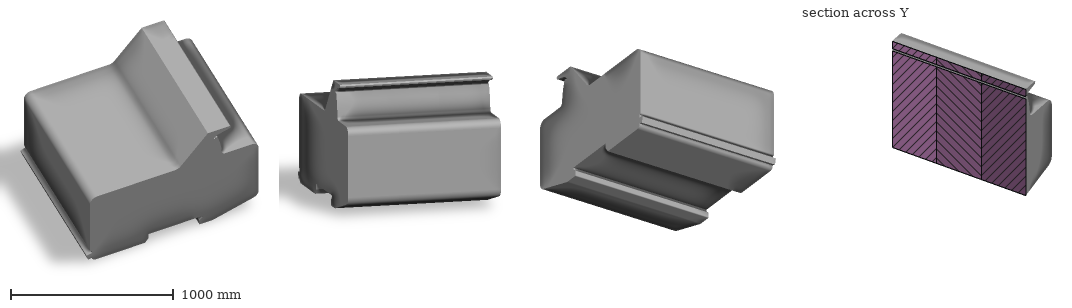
import cadquery as cq
import math

module_count = 3
module_width = 325.0

depth = 1142.0
deck_height = 565.0
corner_radius = 50.0
belly_angle = 16.0
belly_start = 833.0

slot_height = 68.0
slot_front = 397.0
slot_rear = 763.0
hook_reach = 23.0
hook_low = 36.0
hook_high = 55.0
foot_chamfer_run = 25.0
foot_chamfer_rise = 33.0
hook_toe_radius = 6.0

front_recess = 13.0
recess_top = 90.0
toe_radius = 27.0
face_edge_radius = 9.0
clip_angle = 15.0
clip_reach = 23.0
clip_root_top = 70.0
clip_thickness = 41.0

head_top = 798.0
head_front_top = 798.0
head_front_foot = 599.0
head_front_foot_radius = 45.0
head_rear_foot = 894.0
head_rear_foot_radius = 23.0
head_rear_middle = (884.0, 657.0)
head_rear_top = (863.0, 735.0)

lip_rear = 947.0
nose_rear = 954.0
nose_height = 789.0
lip_under_rear = (948.0, 778.0)
lip_under_front = (866.0, 756.0)
groove_front = 840.0
groove_rear = 849.0
groove_top = 736.0
groove_bottom = 727.0


def clip_points():
    """Corners of the tilted clip, from its lower root to its upper root."""
    tilt = math.radians(clip_angle)
    reach = front_recess + clip_reach
    tip_top = clip_root_top - reach * math.tan(tilt)
    tip_low_y = clip_thickness * math.sin(tilt) - clip_reach
    tip_low_z = tip_top - clip_thickness * math.cos(tilt)
    root_low_z = tip_low_z + (front_recess - tip_low_y) * math.tan(tilt)
    return [
        (front_recess, root_low_z),
        (tip_low_y, tip_low_z),
        (-clip_reach, tip_top),
        (front_recess, clip_root_top),
    ]


belly_rear_height = (depth - belly_start) * math.tan(math.radians(belly_angle))

front_points = [
    *clip_points(),
    (front_recess, recess_top),
    (0, recess_top),
    (0, deck_height),
]
head_points = [
    (head_front_foot, deck_height),
    (head_front_top, head_top),
    (lip_rear, head_top),
    (nose_rear, nose_height),
    lip_under_rear,
    lip_under_front,
    (groove_front, groove_top),
    (groove_front, groove_bottom),
    (groove_rear, groove_bottom),
    (groove_rear, head_rear_top[1]),
    head_rear_top,
]
rear_points = [
    (depth, deck_height),
    (depth, belly_rear_height),
    (belly_start, 0),
]
slot_points = [
    (slot_rear - hook_reach, 0),
    (slot_rear - hook_reach, hook_low),
    (slot_rear, hook_high),
    (slot_rear, slot_height),
    (slot_front, slot_height),
    (slot_front, foot_chamfer_rise),
    (slot_front - foot_chamfer_run, 0),
]

rounded_corners = [
    ((0, deck_height), corner_radius),
    ((depth, deck_height), corner_radius),
    ((depth, belly_rear_height), corner_radius),
    ((belly_start, 0), corner_radius),
    ((head_front_foot, deck_height), head_front_foot_radius),
    ((head_rear_foot, deck_height), head_rear_foot_radius),
    ((slot_rear - hook_reach, 0), hook_toe_radius),
    ((front_recess, 0), toe_radius),
    ((0, recess_top), face_edge_radius),
]


def make_module(left):
    """One module, a constant profile running from X = left across the module width."""
    module = (
        cq.Workplane("YZ", origin=(left, 0, 0))
        .polyline([(front_recess, 0), *front_points, *head_points])
        .threePointArc(head_rear_middle, (head_rear_foot, deck_height))
        .polyline([*rear_points, *slot_points], includeCurrent=True)
        .close()
        .extrude(module_width)
    )
    middle = left + module_width / 2
    for (y, z), radius in rounded_corners:
        corner = cq.selectors.NearestToPointSelector((middle, y, z))
        module = module.edges("|X").edges(corner).fillet(radius)
    return module


row_left = -module_count * module_width / 2
modules = [make_module(row_left + index * module_width) for index in range(module_count)]

result = cq.Compound.makeCompound([module.val() for module in modules])